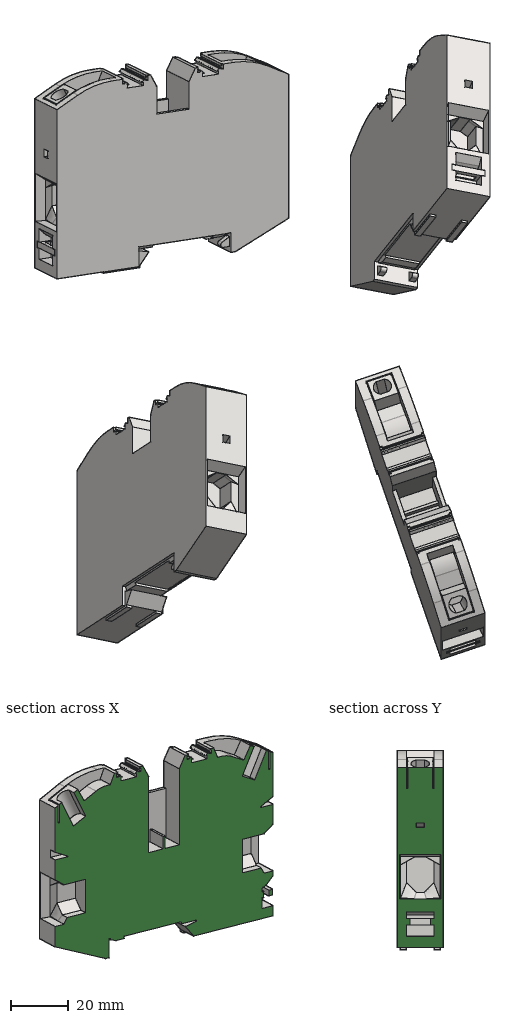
import cadquery as cq
import math

width = 16.0
length = 91.6
height = 68.15
half_length = length / 2
shoulder_z = 60.8

slope_angle = math.radians(26.5)
crown_radius = 30.6
slope_corner_y = half_length - (height - shoulder_z) / math.tan(slope_angle)
crown_tangent = crown_radius * math.tan(slope_angle / 2)
crown_flat_y = slope_corner_y - crown_tangent
crown_slope_y = slope_corner_y + crown_tangent * math.cos(slope_angle)
crown_slope_z = height - crown_tangent * math.sin(slope_angle)

rail_front_y = -13.5
rail_back_y = 22.9
rail_roof_z = 7.05
heel_y = 24.55
back_bottom_z = 9.2

slot_half = 6.3
slot_floor_z = 53.8
slot_taper_z = 63.7
slot_mouth_half = 8.8
slot_pocket_width = 13.2
slot_pocket_depth = 18.3
slot_rib = 0.9
slot_rib_height = 4.6

groove_y = 14.8
groove_floor_z = 64.8
groove_ledge_z = 66.4
groove_ledge_half = 5.0
groove_step_z = 66.8
groove_step_half = 3.9
groove_undercut_half = 3.1
groove_catch_half = 2.5
groove_catch_z = 65.9
groove_mouth_half = 4.5
groove_mouth_z = 67.2
groove_lip_root_z = 67.5
groove_lip_length = 14.5

recess_width = 9.4
recess_outer_y = 44.3
recess_inner_y = 20.9
recess_floor_y = 22.6
recess_floor_z = 64.3
open_z = height + 0.9
insert_width = 8.7
insert_gap = (recess_width - insert_width) / 2
insert_bottom_z = 55.0
screw_hole_diameter = 6.3
screw_hole_flats = 5.6
screw_hole_y = 40.4
screw_hole_depth = 11.0

entry_bottom_z = 16.9
entry_top_z = 34.1
entry_roof_z = 31.5
entry_width = 14.9
entry_inner_width = 13.7
entry_depth = 3.7
funnel_depth = 5.0
wire_hole_depth = 12.8

probe_size = 2.75
probe_bottom_z = 41.6
probe_depth = 5.5

window_width = 9.4
window_bottom_z = 3.9
window_top_z = 14.9
window_bend_z = 12.6
window_back_top_z = 11.2
window_depth = 4.6
bar_width = 12.2
bar_bottom_z = 7.8
bar_top_z = 10.1
bar_setback = 0.2
bar_thickness = 1.65
bar_opening_width = 7.0
bar_back_web = 0.7

foot_width = 13.9
foot_drop = 0.8
runner_width = 2.2
runner_front_y = -26.9
runner_back_y = -12.5


def slope_z(y):
    """Height of the shoulder slope at a distance y from the middle."""
    return shoulder_z + (half_length - y) * math.tan(slope_angle)


def extrude_side(outline, thickness):
    """Extrude a closed outline in the YZ plane, centred on the thickness."""
    return outline.close().extrude(thickness / 2, both=True)


def prism(points, thickness):
    """Prism of a straight-sided YZ outline, centred on the thickness."""
    return extrude_side(cq.Workplane("YZ").polyline(points), thickness)


def block(x_size, y_range, z_range, x_centre=0.0):
    """Box given by its X size and its Y and Z limits."""
    y_size = y_range[1] - y_range[0]
    z_size = z_range[1] - z_range[0]
    base = cq.Workplane("XY", origin=(x_centre, y_range[0] + y_size / 2, z_range[0]))
    return base.rect(x_size, y_size).extrude(z_size)


def both_ends(tool):
    """A shape on the +Y half together with its mirror image on the -Y half."""
    return tool.union(tool.mirror("XZ"))


def make_housing():
    """Side outline with crown arcs, tapered central slot and rail recess."""
    outline = (
        cq.Workplane("YZ")
        .moveTo(-half_length, 0)
        .lineTo(-half_length, shoulder_z)
        .lineTo(-crown_slope_y, crown_slope_z)
        .tangentArcPoint((-crown_flat_y, height), relative=False)
        .lineTo(-slot_mouth_half, height)
        .lineTo(-slot_half, slot_taper_z)
        .lineTo(-slot_half, slot_floor_z)
        .lineTo(slot_half, slot_floor_z)
        .lineTo(slot_half, slot_taper_z)
        .lineTo(slot_mouth_half, height)
        .lineTo(crown_flat_y, height)
        .tangentArcPoint((crown_slope_y, crown_slope_z), relative=False)
        .lineTo(half_length, shoulder_z)
        .lineTo(half_length, back_bottom_z)
        .lineTo(heel_y, 0)
        .lineTo(rail_back_y, 0)
        .lineTo(rail_back_y, rail_roof_z)
        .lineTo(rail_front_y, rail_roof_z)
        .lineTo(rail_front_y, 0)
    )
    return extrude_side(outline, width)


def make_slot_pocket():
    """Pocket below the central slot, parted by a low cross rib."""
    pocket_floor_z = slot_floor_z - slot_pocket_depth
    pocket = block(slot_pocket_width, (-slot_half, slot_half), (pocket_floor_z, slot_floor_z))
    rib = block(
        slot_pocket_width,
        (-slot_rib / 2, slot_rib / 2),
        (pocket_floor_z, pocket_floor_z + slot_rib_height),
    )
    return pocket.cut(rib)


def make_marker_groove():
    """Stepped groove with undercut lips that stop short of both sides."""
    half_outline = [
        (groove_undercut_half, groove_floor_z),
        (groove_undercut_half, groove_catch_z),
        (groove_catch_half, groove_catch_z),
        (groove_catch_half + groove_step_z - groove_catch_z, groove_step_z),
        (groove_step_half, groove_step_z),
        (groove_step_half + groove_step_z - groove_ledge_z, groove_ledge_z),
        (groove_ledge_half, groove_ledge_z),
        (groove_ledge_half, groove_lip_root_z),
        (groove_mouth_half, groove_mouth_z),
        (groove_mouth_half, height),
    ]
    right = [(groove_y + offset, z) for offset, z in half_outline]
    left = [(groove_y - offset, z) for offset, z in reversed(half_outline)]
    groove = prism(right + left, width)
    lip_end = (width - groove_lip_length) / 2
    for side in (-1, 1):
        groove = groove.union(
            block(
                lip_end,
                (groove_y - groove_ledge_half, groove_y + groove_ledge_half),
                (groove_step_z, height),
                side * (width - lip_end) / 2,
            )
        )
    return groove


def make_recess():
    """Full-width opening of a clamp screw recess, down below the insert."""
    outline = [
        (recess_outer_y, insert_bottom_z),
        (recess_outer_y, open_z),
        (recess_inner_y, open_z),
        (recess_inner_y, height),
        (recess_floor_y, recess_floor_z),
        (recess_floor_y, insert_bottom_z),
    ]
    return prism(outline, recess_width)


def make_insert():
    """Clamp insert: screw seat flush with the shoulder and a lower rounded floor."""
    seat_outer_y = recess_outer_y - insert_gap
    seat_inner_y = 36.2
    step_y = 33.4
    step_z = 60.8
    round_y = 28.6
    round_z = step_z + (step_y - round_y) * math.tan(slope_angle)
    outline = (
        cq.Workplane("YZ")
        .moveTo(seat_outer_y, insert_bottom_z)
        .lineTo(seat_outer_y, slope_z(seat_outer_y))
        .lineTo(seat_inner_y, slope_z(seat_inner_y))
        .lineTo(step_y, step_z)
        .lineTo(round_y, round_z)
        .tangentArcPoint((recess_floor_y, recess_floor_z), relative=False)
        .lineTo(recess_floor_y, insert_bottom_z)
    )
    return extrude_side(outline, insert_width)


def make_screw_hole():
    """Blind round hole with two flats, square to the shoulder slope."""
    plane = cq.Plane(
        origin=(0, screw_hole_y, slope_z(screw_hole_y)),
        xDir=(1, 0, 0),
        normal=(0, math.sin(slope_angle), math.cos(slope_angle)),
    )
    bore = cq.Workplane(plane).circle(screw_hole_diameter / 2).extrude(-screw_hole_depth)
    flats = cq.Workplane(plane).rect(screw_hole_diameter, screw_hole_flats).extrude(-screw_hole_depth)
    return bore.intersect(flats)


def mirrored_ring(right_points):
    """Closed outline from its right half, listed from top to bottom."""
    return right_points + [(-x, z) for x, z in reversed(right_points)]


def make_wire_entry():
    """Rectangular mouth, eight-sided funnel and blind wire hole in the +Y end."""
    mouth_points = [
        (entry_width / 2, entry_bottom_z),
        (entry_width / 2, entry_top_z),
        (-entry_width / 2, entry_top_z),
        (-entry_width / 2, entry_bottom_z),
    ]
    throat_points = [
        (entry_inner_width / 2, entry_bottom_z),
        (entry_inner_width / 2, entry_roof_z),
        (-entry_inner_width / 2, entry_roof_z),
        (-entry_inner_width / 2, entry_bottom_z),
    ]
    crest = (1.9, 31.3)
    funnel_points = mirrored_ring([crest, (6.8, 28.6), (6.8, 17.2), (2.1, entry_bottom_z)])
    hole_points = mirrored_ring([crest, (4.7, 29.8), (4.7, 22.4), (1.4, 19.05)])

    def section(points, depth):
        wire_points = [cq.Vector(x, half_length - depth, z) for x, z in points]
        return cq.Wire.makePolygon(wire_points, close=True)

    def tapered(start_points, start_depth, end_points, end_depth):
        wires = [section(start_points, start_depth), section(end_points, end_depth)]
        return cq.Workplane(cq.Solid.makeLoft(wires, True))

    mouth = tapered(mouth_points, 0, throat_points, entry_depth)
    funnel = tapered(funnel_points, entry_depth, hole_points, funnel_depth)
    wire_hole = tapered(hole_points, funnel_depth, hole_points, wire_hole_depth)
    return mouth.union(funnel).union(wire_hole)


def make_probe_notch():
    """Small square notch whose roof runs down to the floor."""
    outline = [
        (half_length, probe_bottom_z),
        (half_length, probe_bottom_z + probe_size),
        (half_length - probe_depth, probe_bottom_z),
    ]
    return prism(outline, probe_size)


def make_release_window():
    """Front window with a bent sloping roof, crossed by an open release bar."""
    back_y = window_depth - half_length
    window = prism(
        [
            (-half_length, window_bottom_z),
            (-half_length, window_top_z),
            (back_y - window_depth / 2, window_bend_z),
            (back_y, window_back_top_z),
            (back_y, window_bottom_z),
        ],
        window_width,
    )
    bar_heights = (bar_bottom_z, bar_top_z)
    bar_slot = block(bar_width, (-half_length, back_y), bar_heights)
    bar = block(bar_width, (bar_setback - half_length, back_y), bar_heights)
    opening = block(
        bar_opening_width,
        (bar_setback + bar_thickness - half_length, back_y - bar_back_web),
        bar_heights,
    )
    return window.union(bar_slot).cut(bar.cut(opening))


def make_foot():
    """Rail latch, a pair of rail hooks and the two runners under the base."""
    latch_root_z = 5.4
    latch_tip = (-8.9, 4.4)
    hook_bottom_z = 1.9
    hook_top_z = 5.5
    hook_nose_top = (20.1, 3.85)
    hook_nose_tip = (19.4, 2.9)
    hook_nose_bottom = (20.4, hook_bottom_z)
    latch = prism(
        [(rail_front_y, 0), (rail_front_y, latch_root_z), latch_tip, (runner_back_y, 0)],
        foot_width,
    )
    hook_outline = (
        cq.Workplane("YZ")
        .moveTo(rail_back_y, hook_bottom_z)
        .lineTo(rail_back_y, hook_top_z)
        .lineTo(*hook_nose_top)
        .threePointArc(hook_nose_tip, hook_nose_bottom)
    )
    hook = extrude_side(hook_outline, runner_width)
    foot = latch
    runner_x = (foot_width - runner_width) / 2
    for side in (-1, 1):
        runner = block(runner_width, (runner_front_y, runner_back_y), (-foot_drop, 0), side * runner_x)
        foot = foot.union(runner).union(hook.translate((side * runner_x, 0, 0)))
    return foot


def make_rail_pads():
    """Shallow strip on the recess roof with a bevelled pad at each end."""
    strip_z = 6.5
    pad_z = 5.7
    pad_top_width = 13.7
    pad_bottom_width = 12.5
    ramp_y = 22.5
    ramp_end_y = 20.1
    back_pad_y = 16.6
    front_pad_y = -7.1
    pad_profile = [
        (-pad_top_width / 2, rail_roof_z),
        (pad_top_width / 2, rail_roof_z),
        (pad_bottom_width / 2, pad_z),
        (-pad_bottom_width / 2, pad_z),
    ]
    side_profile = [
        (rail_front_y, pad_z),
        (rail_front_y, rail_roof_z),
        (ramp_y, rail_roof_z),
        (ramp_y, strip_z),
        (ramp_end_y, pad_z),
        (back_pad_y, pad_z),
        (back_pad_y, strip_z),
        (front_pad_y, strip_z),
        (front_pad_y, pad_z),
    ]
    bevelled = (
        cq.Workplane("XZ", origin=(0, ramp_y, 0))
        .polyline(pad_profile)
        .close()
        .extrude(ramp_y - rail_front_y)
    )
    return bevelled.intersect(prism(side_profile, pad_top_width))


result = (
    make_housing()
    .cut(make_slot_pocket())
    .cut(both_ends(make_marker_groove()))
    .cut(both_ends(make_recess()))
    .union(both_ends(make_insert()))
    .cut(both_ends(make_screw_hole()))
    .cut(both_ends(make_wire_entry()))
    .cut(both_ends(make_probe_notch()))
    .cut(make_release_window())
    .union(make_foot())
    .union(make_rail_pads())
)